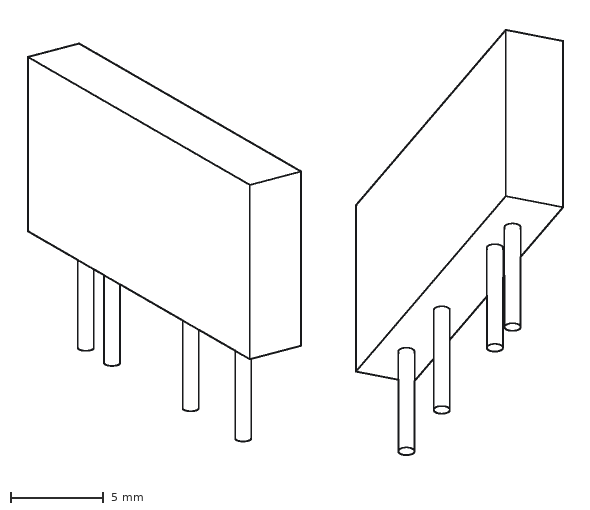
import cadquery as cq

housing_length = 21.45
housing_thickness = 3.35
housing_height = 10.24

total_height = 16.37
pin_diameter = 0.88
pin_length = total_height - housing_height
pin_pitch = 2.53
pin_grid_places = [-3, -2, 1, 3]


def make_housing():
    """Plain rectangular block standing on the pin plane."""
    return cq.Workplane("XY").box(
        housing_length, housing_thickness, housing_height, centered=(True, True, False)
    )


def make_pin(x):
    """Straight round pin hanging from the housing underside."""
    return cq.Workplane("XY").center(x, 0).circle(pin_diameter / 2).extrude(-pin_length)


housing = make_housing()
pins = [make_pin(place * pin_pitch) for place in pin_grid_places]

result = cq.Compound.makeCompound([housing.val(), *[pin.val() for pin in pins]])